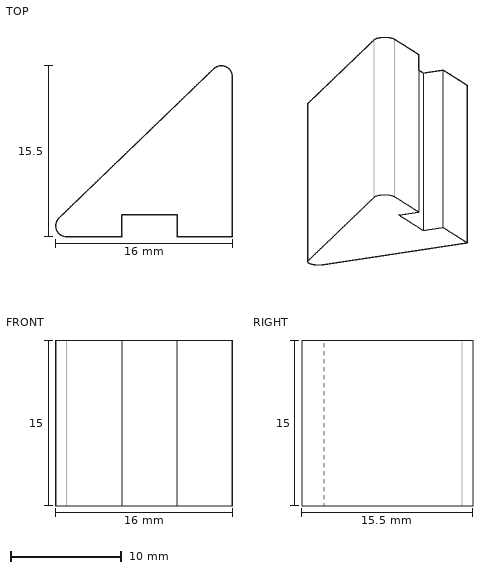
import cadquery as cq
import math

width = 16.0
depth = 15.5
height = 15.0
nose_radius = 1.0
slot_width = 5.0
slot_depth = 2.0
slot_to_corner = 5.0

toe_x = nose_radius
toe_y = nose_radius
tip_x = width - nose_radius
tip_y = depth - nose_radius

slope_angle = math.atan2(tip_y - toe_y, tip_x - toe_x)
normal_angle = slope_angle + math.pi / 2


def on_round(center_x, center_y, angle):
    """Point on a corner round at the given angle from +X."""
    return (
        center_x + nose_radius * math.cos(angle),
        center_y + nose_radius * math.sin(angle),
    )


def wedge():
    """Triangular prism with a square corner and two rounded corners."""
    toe_start_angle = 3 * math.pi / 2
    toe_middle_angle = (normal_angle + toe_start_angle) / 2
    tip_middle_angle = normal_angle / 2
    return (
        cq.Workplane("XY")
        .moveTo(toe_x, 0)
        .lineTo(width, 0)
        .lineTo(width, tip_y)
        .threePointArc(
            on_round(tip_x, tip_y, tip_middle_angle),
            on_round(tip_x, tip_y, normal_angle),
        )
        .lineTo(*on_round(toe_x, toe_y, normal_angle))
        .threePointArc(on_round(toe_x, toe_y, toe_middle_angle), (toe_x, 0))
        .close()
        .extrude(height)
    )


def slot():
    """Rectangular channel along the full height of the front face."""
    slot_left = width - slot_to_corner - slot_width
    return (
        cq.Workplane("XY")
        .moveTo(slot_left, 0)
        .rect(slot_width, slot_depth, centered=False)
        .extrude(height)
    )


result = wedge().cut(slot())